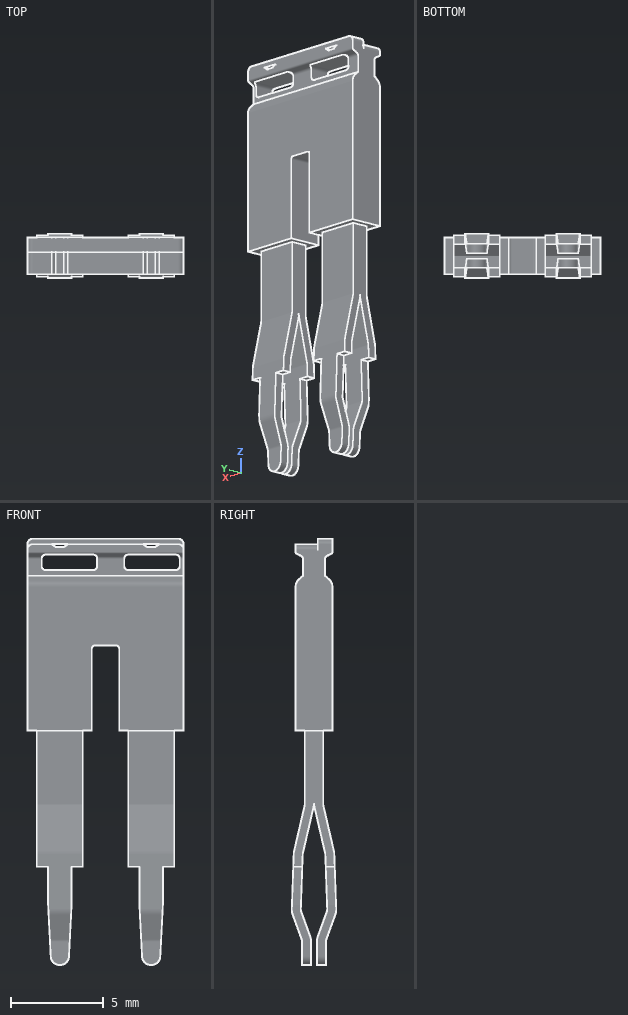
import cadquery as cq
import math

total_height = 23.03
body_bottom = 12.66

body_width = 8.44
body_depth = 2.0
neck_depth = 1.2
neck_top = 22.04
neck_bottom = 21.03
flange_bottom = 22.24
shoulder_rise = 0.36
shoulder_radius = 0.5
neck_radius = 0.18
flange_radius = 0.12

step_height = 0.3
step_y = 0.2
end_radius = 0.3

contact_pitch = 4.93

groove_top_width = 0.86
groove_bottom_width = 0.43
groove_depth = 0.15

window_width = 2.98
window_height = 0.82
window_radius = 0.2
window_pitch = 4.46
window_center_x = 0.28
window_center_z = 21.75

notch_width = 1.46
notch_top = 17.25
notch_radius = 0.15

sheet = 0.5
bend_inside_radius = 0.3
bend_outside_radius = bend_inside_radius + sheet
fork_z = 8.67
upper_bend = (1.1, 6.08)
lower_bend = (1.211, 2.88)
tip_bend_z = 1.33
tip_gap = 0.3
leg_overlap = 1.0
leg_width = 2.5
finger_width = 1.28
tip_width = 1.0
tip_radius = tip_width / 2
leg_shoulder_z = 5.31
taper_start_z = 3.25


def box_between(x_range, y_range, z_range):
    """Box spanning the given (low, high) ranges."""
    sizes = [high - low for low, high in (x_range, y_range, z_range)]
    corner = (x_range[0], y_range[0], z_range[0])
    return cq.Workplane("XY").box(*sizes, centered=False).translate(corner)


def round_edge_at(solid, point, radius):
    """Fillet the X-parallel edge nearest to the point."""
    selector = cq.selectors.NearestToPointSelector(point)
    return solid.edges("|X").edges(selector).fillet(radius)


def make_body_block():
    """Body and neck cross-section, extruded along X up to the flange top."""
    half = body_depth / 2
    neck = neck_depth / 2
    shoulder_z = neck_bottom - shoulder_rise
    side = [
        (half, body_bottom),
        (half, shoulder_z),
        (neck, neck_bottom),
        (neck, neck_top),
        (half, flange_bottom),
        (half, total_height),
    ]
    other_side = [(-y, z) for y, z in reversed(side)]
    block = cq.Workplane("YZ").polyline(side + other_side).close()
    block = block.extrude(body_width / 2, both=True)
    for sign in (1, -1):
        block = round_edge_at(block, (0, sign * half, shoulder_z), shoulder_radius)
        block = round_edge_at(block, (0, sign * neck, neck_top), neck_radius)
        block = round_edge_at(block, (0, sign * half, flange_bottom), flange_radius)
    return block


def rounded_top_slab(y_range, top):
    """Slab with rounded upper ends, bounding one half of the body."""
    x_range = (-body_width / 2, body_width / 2)
    slab = box_between(x_range, y_range, (body_bottom, top))
    return slab.edges("|Y and >Z").fillet(end_radius)


def make_groove(x, ledge_z):
    """Cutter for one groove across the ledge, tunnelling on through the high half."""
    outline = [
        (x - groove_top_width / 2, ledge_z),
        (x - groove_bottom_width / 2, ledge_z - groove_depth),
        (x + groove_bottom_width / 2, ledge_z - groove_depth),
        (x + groove_top_width / 2, ledge_z),
    ]
    groove = cq.Workplane("XZ", origin=(0, body_depth / 2, 0)).polyline(outline).close()
    return groove.extrude(body_depth)


def make_window(x):
    """Cutter for one rounded window through the neck."""
    window = cq.Workplane("XY").box(window_width, body_depth, window_height)
    window = window.edges("|Y").fillet(window_radius)
    return window.translate((x, 0, window_center_z))


def make_notch():
    """Cutter for the open notch in the lower edge of the body."""
    half = notch_width / 2
    y_range = (-body_depth / 2, body_depth / 2)
    notch = box_between((-half, half), y_range, (body_bottom, notch_top))
    return notch.edges("|Y and >Z").fillet(notch_radius)


def make_body():
    """Complete plastic body."""
    half = body_depth / 2
    ledge_z = total_height - step_height
    high_half = rounded_top_slab((step_y, half), total_height)
    low_half = rounded_top_slab((-half, step_y), ledge_z)
    body = make_body_block().intersect(high_half.union(low_half))
    body = body.cut(make_notch())
    for side in (-1, 1):
        body = body.cut(make_groove(side * contact_pitch / 2, ledge_z))
        body = body.cut(make_window(window_center_x + side * window_pitch / 2))
    return body


def inner_corner(before, corner, after):
    """Point one sheet thickness inside a corner of the prong's outer face."""
    angle_in = math.atan2(corner[1] - before[1], corner[0] - before[0])
    angle_out = math.atan2(after[1] - corner[1], after[0] - corner[0])
    middle = (angle_in + angle_out) / 2
    reach = sheet / math.cos((angle_out - angle_in) / 2)
    return corner[0] + reach * math.sin(middle), corner[1] - reach * math.cos(middle)


def make_prong():
    """Bent strip on the +Y side, at full leg width and centred on X = 0."""
    tip_y = tip_gap / 2 + sheet
    outer = [
        (sheet, body_bottom + leg_overlap),
        (sheet, fork_z),
        upper_bend,
        lower_bend,
        (tip_y, tip_bend_z),
        (tip_y, 0),
    ]
    outer_corners = outer[1:-1]
    inner_corners = [inner_corner(*outer[i - 1:i + 2]) for i in range(1, len(outer) - 1)]
    inner = [(0, outer[0][1])] + inner_corners + [(tip_y - sheet, 0)]
    prong = cq.Workplane("YZ").polyline(outer + inner[::-1]).close()
    prong = prong.extrude(leg_width / 2, both=True)
    convex_outside = (False, True, True, False)
    for outside, inside, convex in zip(outer_corners, inner_corners, convex_outside):
        outside_radius = bend_outside_radius if convex else bend_inside_radius
        inside_radius = bend_inside_radius if convex else bend_outside_radius
        prong = round_edge_at(prong, (0, *outside), outside_radius)
        prong = round_edge_at(prong, (0, *inside), inside_radius)
    return prong


def make_leg_outline():
    """Front outline of a leg: wide shank, narrow finger, tapered round tip."""
    leg_top = body_bottom + leg_overlap
    outline = (
        cq.Workplane("XZ")
        .moveTo(-leg_width / 2, leg_top)
        .lineTo(-leg_width / 2, leg_shoulder_z)
        .lineTo(-finger_width / 2, leg_shoulder_z)
        .lineTo(-finger_width / 2, taper_start_z)
        .lineTo(-tip_width / 2, tip_radius)
        .threePointArc((0, 0), (tip_width / 2, tip_radius))
        .lineTo(finger_width / 2, taper_start_z)
        .lineTo(finger_width / 2, leg_shoulder_z)
        .lineTo(leg_width / 2, leg_shoulder_z)
        .lineTo(leg_width / 2, leg_top)
        .close()
    )
    return outline.extrude(2 * lower_bend[0], both=True)


def make_leg():
    """Forked contact leg centred on X = 0."""
    prong = make_prong().intersect(make_leg_outline())
    return prong.union(prong.mirror("XZ"))


result = make_body()
leg = make_leg()
for leg_side in (-1, 1):
    result = result.union(leg.translate((leg_side * contact_pitch / 2, 0, 0)))